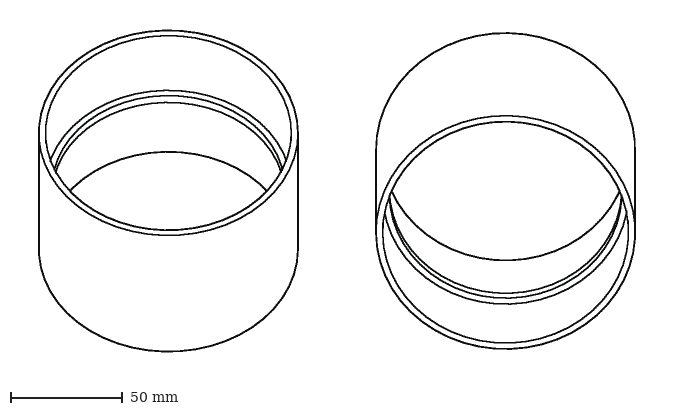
import cadquery as cq

outer_diameter = 116.0
socket_diameter = 110.0
stop_diameter = 104.0
length = 85.0
stop_thickness = 5.0
socket_depth = (length - stop_thickness) / 2


def cylinder(diameter, height, base_z):
    """Vertical cylinder on the Z axis, starting at base_z."""
    return cq.Workplane("XY").workplane(offset=base_z).circle(diameter / 2).extrude(height)


body = cylinder(outer_diameter, length, 0)
bore = cylinder(stop_diameter, length, 0)

result = body.cut(bore)
for socket_base in (0, length - socket_depth):
    result = result.cut(cylinder(socket_diameter, socket_depth, socket_base))